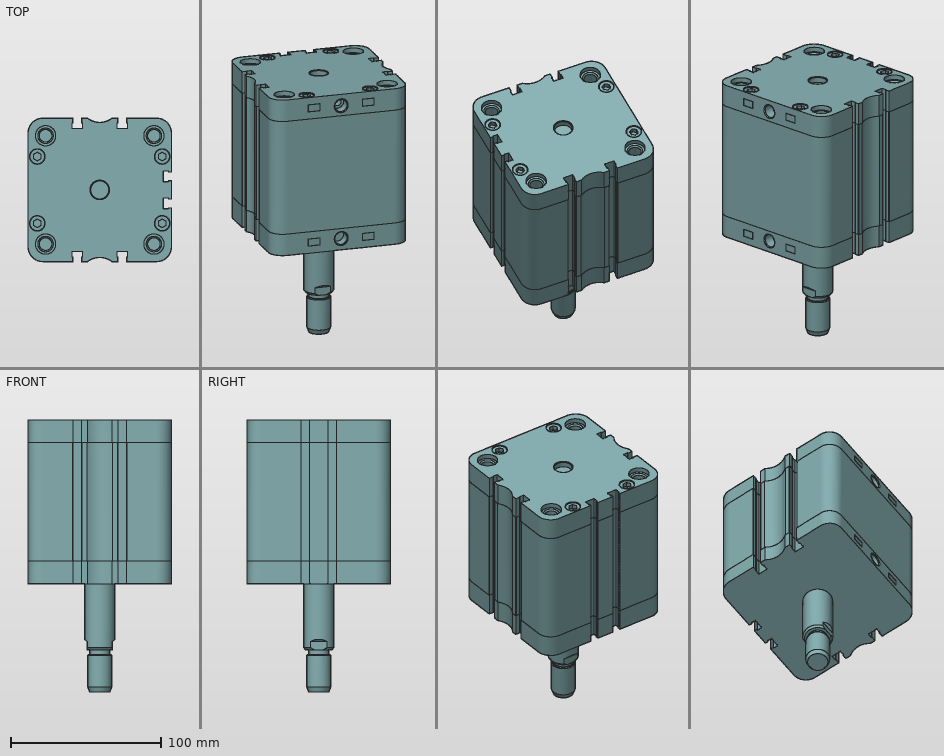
import cadquery as cq
import math


SIDE = 95.5
HALF_SIDE = SIDE / 2
CORNER_RADIUS = 10.0
CAP_HEIGHT = 15.0
BARREL_HEIGHT = 79.0
BODY_HEIGHT = BARREL_HEIGHT + 2 * CAP_HEIGHT
BODY_CENTRE_Z = BODY_HEIGHT / 2

Y_SLOT_OFFSET = 15.0
Y_SLOT_NECK_WIDTH = 5.8
Y_SLOT_NECK_DEPTH = 3.3
Y_SLOT_WIDTH = 6.8
Y_SLOT_DEPTH = 6.8

X_SLOT_OFFSET = 9.0
X_SLOT_NECK_WIDTH = 5.8
X_SLOT_NECK_DEPTH = 2.1
X_SLOT_WIDTH = 7.0
X_SLOT_DEPTH = 5.4

CHANNEL_HALF_WIDTH = 8.2
CHANNEL_DEPTH = 2.8
CHANNEL_RADIUS = (CHANNEL_HALF_WIDTH**2 + CHANNEL_DEPTH**2) / (2 * CHANNEL_DEPTH)

EDGE_BREAK = 0.35

MOUNT_OFFSET = 36.0
MOUNT_COUNTERBORE_DIAMETER = 13.5
MOUNT_COUNTERBORE_DEPTH = 3.2
MOUNT_CHAMFER_DIAMETER = 10.3
MOUNT_THREAD_DIAMETER = 8.38
MOUNT_HOLE_DEPTH = 13.0

SCREW_X = 41.5
SCREW_Y = 22.2
SCREW_HOLE_DIAMETER = 10.3
SCREW_HEAD_DIAMETER = 9.8
SCREW_SINK_DEPTH = 0.6
SCREW_GAP_DEPTH = 2.0
HEX_ACROSS_FLATS = 5.0
HEX_DEPTH = 3.0

RECESS_DIAMETER = 12.0
RECESS_CHAMFER_DIAMETER = 13.0
RECESS_DEPTH = 4.0

PORT_FROM_END = 8.0
PORT_THREAD_DIAMETER = 8.57
PORT_CHAMFER_DIAMETER = 9.8
PORT_DEPTH = 8.0
AIR_PASSAGE_DIAMETER = 5.0
AIR_PASSAGE_DEPTH = 14.0

LABEL_OFFSET = 19.0
LABEL_WIDTH = 8.1
LABEL_HEIGHT = 4.9
LABEL_DEPTH = 0.2

ROD_DIAMETER = 20.0
ROD_SHOULDER_LENGTH = 44.0
ROD_CHAMFER_HEIGHT = 1.5
ROD_CHAMFER_WIDTH = 1.2
NECK_DIAMETER = 13.5
NECK_LENGTH = 3.0
THREAD_DIAMETER = 16.0
THREAD_TOP_CHAMFER = 0.6
THREAD_TIP_LENGTH = 3.3
THREAD_TIP_DIAMETER = 13.5
ROD_LENGTH = 72.0
FLATS_WIDTH = 16.8
FLATS_LENGTH = 5.5


def four_corners(x, y):
    return [(sx * x, sy * y) for sx in (-1, 1) for sy in (-1, 1)]


def cylinder(x, y, top, diameter, depth):
    """Upright cylinder hanging down from height `top`."""
    return cq.Workplane("XY", origin=(x, y, top - depth)).circle(diameter / 2).extrude(depth)


def chamfer_cone(plane, large_diameter, small_diameter):
    """45 degree cone along the plane's normal, narrowing from the plane's origin."""
    depth = (large_diameter - small_diameter) / 2
    return (
        cq.Workplane(plane)
        .circle(large_diameter / 2)
        .workplane(offset=depth)
        .circle(small_diameter / 2)
        .loft(ruled=True)
    )


def t_slot(offset, neck_width, neck_depth, width, depth, face_angle):
    """T-slot cutter on the +X face, turned about Z by `face_angle`."""
    neck = cq.Workplane("XY").box(2 * neck_depth, neck_width, BODY_HEIGHT)
    foot_depth = depth - neck_depth
    foot = cq.Workplane("XY").box(foot_depth, width, BODY_HEIGHT)
    foot = foot.translate((-neck_depth - foot_depth / 2, 0, 0))
    cutter = neck.union(foot).translate((HALF_SIDE, offset, BODY_CENTRE_Z))
    return cutter.rotate((0, 0, 0), (0, 0, 1), face_angle)


def body_section(bottom, height):
    """Length of the common outer profile shared by the barrel and the caps."""
    section = cq.Workplane("XY", origin=(0, 0, bottom)).rect(SIDE, SIDE).extrude(height)
    section = section.edges("|Z").fillet(CORNER_RADIUS)
    channel_y = HALF_SIDE - CHANNEL_DEPTH + CHANNEL_RADIUS
    for side in (-1, 1):
        section = section.cut(
            t_slot(
                side * X_SLOT_OFFSET,
                X_SLOT_NECK_WIDTH,
                X_SLOT_NECK_DEPTH,
                X_SLOT_WIDTH,
                X_SLOT_DEPTH,
                face_angle=0,
            )
        )
        channel = cylinder(0, side * channel_y, BODY_HEIGHT, 2 * CHANNEL_RADIUS, BODY_HEIGHT)
        section = section.cut(channel)
        for face_angle in (90, -90):
            section = section.cut(
                t_slot(
                    side * Y_SLOT_OFFSET,
                    Y_SLOT_NECK_WIDTH,
                    Y_SLOT_NECK_DEPTH,
                    Y_SLOT_WIDTH,
                    Y_SLOT_DEPTH,
                    face_angle,
                )
            )
    return section


def cut_port(cap, port_z):
    """Threaded port with a chamfered mouth in the -X face."""
    mouth = cq.Plane(origin=(-HALF_SIDE, 0, port_z), xDir=(0, 1, 0), normal=(1, 0, 0))
    bore = cq.Workplane(mouth).circle(PORT_THREAD_DIAMETER / 2).extrude(PORT_DEPTH)
    return cap.cut(bore).cut(chamfer_cone(mouth, PORT_CHAMFER_DIAMETER, PORT_THREAD_DIAMETER))


def cut_label_panels(cap, panel_z):
    """Shallow rectangular panels on the -X face, one on each side of the port."""
    for side in (-1, 1):
        panel = cq.Workplane("XY").box(2 * LABEL_DEPTH, LABEL_WIDTH, LABEL_HEIGHT)
        cap = cap.cut(panel.translate((-HALF_SIDE, side * LABEL_OFFSET, panel_z)))
    return cap


def cut_mounting_hole(cap, x, y):
    """Counterbored threaded hole with a chamfer under the counterbore."""
    seat_z = BODY_HEIGHT - MOUNT_COUNTERBORE_DEPTH
    seat = cq.Plane(origin=(x, y, seat_z), xDir=(1, 0, 0), normal=(0, 0, -1))
    cap = cap.cut(cylinder(x, y, BODY_HEIGHT, MOUNT_COUNTERBORE_DIAMETER, MOUNT_COUNTERBORE_DEPTH))
    cap = cap.cut(chamfer_cone(seat, MOUNT_CHAMFER_DIAMETER, MOUNT_THREAD_DIAMETER))
    return cap.cut(cylinder(x, y, BODY_HEIGHT, MOUNT_THREAD_DIAMETER, MOUNT_HOLE_DEPTH))


def cut_screw_head(cap, x, y):
    """Sunken screw head with a ring gap around it and a hex socket in it."""
    head_z = BODY_HEIGHT - SCREW_SINK_DEPTH
    hole = cylinder(x, y, BODY_HEIGHT, SCREW_HOLE_DIAMETER, SCREW_SINK_DEPTH + SCREW_GAP_DEPTH)
    gap = hole.cut(cylinder(x, y, head_z, SCREW_HEAD_DIAMETER, SCREW_GAP_DEPTH))
    across_corners = HEX_ACROSS_FLATS / math.cos(math.pi / 6)
    socket = (
        cq.Workplane("XY")
        .polygon(6, across_corners)
        .extrude(HEX_DEPTH)
        .rotate((0, 0, 0), (0, 0, 1), 30)
        .translate((x, y, head_z - HEX_DEPTH))
    )
    return cap.cut(gap).cut(socket)


def cut_centring_recess(cap):
    """Blind round recess with a chamfered rim in the middle of the top face."""
    rim = cq.Plane(origin=(0, 0, BODY_HEIGHT), xDir=(1, 0, 0), normal=(0, 0, -1))
    cap = cap.cut(cylinder(0, 0, BODY_HEIGHT, RECESS_DIAMETER, RECESS_DEPTH))
    return cap.cut(chamfer_cone(rim, RECESS_CHAMFER_DIAMETER, RECESS_DIAMETER))


def make_barrel():
    """Barrel profile with its slot mouths and channel edges eased."""
    barrel = body_section(CAP_HEIGHT, BARREL_HEIGHT)
    for side in (-1, 1):
        reach = Y_SLOT_OFFSET + Y_SLOT_NECK_WIDTH
        edge_zone = cq.selectors.BoxSelector(
            (-reach, side * (HALF_SIDE - EDGE_BREAK), CAP_HEIGHT),
            (reach, side * (HALF_SIDE + EDGE_BREAK), CAP_HEIGHT + BARREL_HEIGHT),
        )
        barrel = barrel.edges("|Z").edges(edge_zone).chamfer(EDGE_BREAK)
    return barrel


def make_upper_cap():
    """Plain end cap with the mounting holes, cap screws and centring recess."""
    cap = body_section(CAP_HEIGHT + BARREL_HEIGHT, CAP_HEIGHT)
    port_z = BODY_HEIGHT - PORT_FROM_END
    cap = cut_port(cap, port_z)
    passage = cq.Workplane("YZ", origin=(-HALF_SIDE, 0, port_z)).circle(AIR_PASSAGE_DIAMETER / 2)
    cap = cap.cut(passage.extrude(AIR_PASSAGE_DEPTH))
    cap = cut_label_panels(cap, BODY_HEIGHT - CAP_HEIGHT / 2)
    for x, y in four_corners(MOUNT_OFFSET, MOUNT_OFFSET):
        cap = cut_mounting_hole(cap, x, y)
    for x, y in four_corners(SCREW_X, SCREW_Y):
        cap = cut_screw_head(cap, x, y)
    return cut_centring_recess(cap)


def make_lower_cap():
    """End cap that the piston rod passes through."""
    cap = body_section(0, CAP_HEIGHT)
    cap = cut_port(cap, PORT_FROM_END)
    cap = cut_label_panels(cap, CAP_HEIGHT / 2)
    return cap.cut(cylinder(0, 0, CAP_HEIGHT, ROD_DIAMETER, CAP_HEIGHT))


def make_piston_rod():
    """Turned rod passing through the lower cap, with two wrench flats above the threaded end."""
    rod_radius = ROD_DIAMETER / 2
    thread_radius = THREAD_DIAMETER / 2
    neck_radius = NECK_DIAMETER / 2
    thread_top = -ROD_SHOULDER_LENGTH - NECK_LENGTH
    rod = (
        cq.Workplane("XZ")
        .moveTo(0, CAP_HEIGHT)
        .lineTo(rod_radius, CAP_HEIGHT)
        .lineTo(rod_radius, -ROD_SHOULDER_LENGTH + ROD_CHAMFER_HEIGHT)
        .lineTo(rod_radius - ROD_CHAMFER_WIDTH, -ROD_SHOULDER_LENGTH)
        .lineTo(neck_radius, -ROD_SHOULDER_LENGTH)
        .lineTo(neck_radius, thread_top)
        .lineTo(thread_radius - THREAD_TOP_CHAMFER, thread_top)
        .lineTo(thread_radius, thread_top - THREAD_TOP_CHAMFER)
        .lineTo(thread_radius, -ROD_LENGTH + THREAD_TIP_LENGTH)
        .lineTo(THREAD_TIP_DIAMETER / 2, -ROD_LENGTH)
        .lineTo(0, -ROD_LENGTH)
        .close()
        .revolve(360, (0, 0, 0), (0, 1, 0))
    )
    flat_x = FLATS_WIDTH / 2
    flat_top = -ROD_SHOULDER_LENGTH + FLATS_LENGTH
    ramp = rod_radius - flat_x
    flat = (
        cq.Workplane("XZ")
        .moveTo(flat_x, -ROD_SHOULDER_LENGTH)
        .lineTo(flat_x, flat_top)
        .lineTo(rod_radius, flat_top + ramp)
        .lineTo(rod_radius, -ROD_SHOULDER_LENGTH)
        .close()
        .extrude(rod_radius, both=True)
    )
    return rod.cut(flat).cut(flat.mirror("YZ"))


barrel = make_barrel()
upper_cap = make_upper_cap()
lower_cap = make_lower_cap()
piston_rod = make_piston_rod()

result = cq.Compound.makeCompound(
    [
        *barrel.solids().vals(),
        *upper_cap.solids().vals(),
        *lower_cap.solids().vals(),
        *piston_rod.solids().vals(),
    ]
)